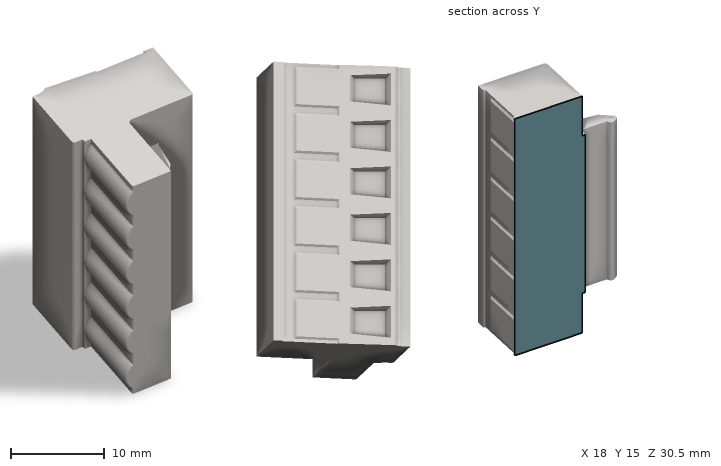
import cadquery as cq

POLE_COUNT = 6
PITCH = 5.08
HEIGHT = POLE_COUNT * PITCH
POLE_CENTRES = [(i + 0.5) * PITCH for i in range(POLE_COUNT)]

LENGTH = 18.0
WIDTH = 15.0
FACE_X = 0.43
BODY_BACK_X = 8.92
CORNER_RADIUS = 0.3

RECESS_X = 0.65
RECESS_TOP_Y = 13.85
RECESS_BOTTOM_Y = 7.97
SLOPE_TOP_X = 0.45
SLOPE_TOP_Y = 7.76
SLOPE_BOTTOM_Y = 1.78

STEP_X = 0.33
STEP_TOP_Y = 1.36
STEP_BOTTOM_Y = 1.15
STEP_END_Y = 0.95

PLUG_TOP_Y = 6.8
PLUG_BOTTOM_Y = 2.0
PLUG_ROOT_X = 9.33
ROOT_STEP_Y = 1.2
ROOT_RADIUS = 0.5

RIB_CREST_Y = 1.2
RIB_WIDTH = 3.66
PLUG_END_RADIUS = 0.2

PAD_TOP_Y = 12.7
PAD_BASE_WIDTH = 4.4
PAD_TAPER = 0.22

MOUTH_NARROW = (6.6, 1.42)
MOUTH_WIDE = (2.2, 1.75)
FLOOR_NARROW = (5.97, 1.235)
FLOOR_WIDE = (2.65, 1.375)
POCKET_FLOOR_X = 1.05

LATCH_BOTTOM_Y = 8.45
LATCH_FOOT_Y = 10.73
ARM_ROOT = (9.2, 10.48)
ARM_END = (12.41, 10.07)
TIP_X = 13.88
TIP_TOP_Y = 8.92
TIP_BOTTOM_Y = 8.5
HOOK_OUTER = (13.1, 8.0)
HOOK_INNER = (12.8, 8.08)
HOOK_START_X = 12.55
LATCH_INSET = PITCH


def sloped_face_x(y):
    """X of the sloped entry face at a given Y."""
    return SLOPE_TOP_X * (y - SLOPE_BOTTOM_Y) / (SLOPE_TOP_Y - SLOPE_BOTTOM_Y)


def make_housing():
    """Body and plug as one outline extruded over the full height."""
    outline = [
        (FACE_X, 0),
        (BODY_BACK_X, 0),
        (BODY_BACK_X, ROOT_STEP_Y),
        (PLUG_ROOT_X, ROOT_STEP_Y),
        (PLUG_ROOT_X, PLUG_BOTTOM_Y),
        (LENGTH, PLUG_BOTTOM_Y),
        (LENGTH, PLUG_TOP_Y),
        (BODY_BACK_X, PLUG_TOP_Y),
        (BODY_BACK_X, WIDTH),
        (FACE_X, WIDTH),
        (FACE_X, RECESS_TOP_Y),
        (RECESS_X, RECESS_TOP_Y),
        (RECESS_X, RECESS_BOTTOM_Y),
        (SLOPE_TOP_X, SLOPE_TOP_Y),
        (0, SLOPE_BOTTOM_Y),
        (STEP_X, STEP_TOP_Y),
        (STEP_X, STEP_BOTTOM_Y),
        (FACE_X, STEP_END_Y),
    ]
    housing = cq.Workplane("XY").polyline(outline).close().extrude(HEIGHT)
    for y in (0, WIDTH):
        corner = cq.selectors.NearestToPointSelector((BODY_BACK_X, y, HEIGHT / 2))
        housing = housing.edges(corner).fillet(CORNER_RADIUS)
    root = cq.selectors.NearestToPointSelector((BODY_BACK_X, PLUG_TOP_Y, HEIGHT / 2))
    return housing.edges(root).fillet(ROOT_RADIUS)


def make_rib(z):
    """Arc-section rib under the plug."""
    half = RIB_WIDTH / 2
    return (
        cq.Workplane("YZ", origin=(PLUG_ROOT_X, 0, z))
        .moveTo(PLUG_BOTTOM_Y, -half)
        .threePointArc((RIB_CREST_Y, 0), (PLUG_BOTTOM_Y, half))
        .close()
        .extrude(LENGTH - PLUG_ROOT_X)
    )


def round_plug_end(part):
    """Round the scalloped lower edge of the plug's end face."""
    lower_half = cq.selectors.BoxSelector(
        (PLUG_ROOT_X, 0, 0),
        (LENGTH + PLUG_END_RADIUS, (PLUG_BOTTOM_Y + PLUG_TOP_Y) / 2 - PLUG_END_RADIUS, HEIGHT),
    )
    return part.faces(">X").edges(lower_half).fillet(PLUG_END_RADIUS)


def make_pad(z):
    """Raised label pad with sloping top and side walls."""
    half = PAD_BASE_WIDTH / 2
    top_half = half - PAD_TAPER

    def section(x, top_y, half_width):
        return cq.Wire.makePolygon(
            [
                cq.Vector(x, SLOPE_TOP_Y, z - half_width),
                cq.Vector(x, top_y, z - half_width),
                cq.Vector(x, top_y, z + half_width),
                cq.Vector(x, SLOPE_TOP_Y, z + half_width),
            ],
            close=True,
        )

    base = section(RECESS_X, PAD_TOP_Y, half)
    top = section(SLOPE_TOP_X, PAD_TOP_Y - PAD_TAPER, top_half)
    return cq.Solid.makeLoft([base, top], True)


def make_pocket(z):
    """Tapered wire entry pocket, opening on the sloped face."""

    def section(narrow, wide, x_at):
        corners = [
            cq.Vector(x_at(y), y, z + side * half)
            for (y, half), side in ((narrow, -1), (wide, -1), (wide, 1), (narrow, 1))
        ]
        return cq.Wire.makePolygon(corners, close=True)

    mouth = section(MOUTH_NARROW, MOUTH_WIDE, sloped_face_x)
    floor = section(FLOOR_NARROW, FLOOR_WIDE, lambda y: POCKET_FLOOR_X)
    return cq.Solid.makeLoft([mouth, floor], True)


def make_latch():
    """Hooked latch arm on the back of the body."""
    outline = [
        (BODY_BACK_X, PLUG_TOP_Y),
        (PLUG_ROOT_X, PLUG_TOP_Y),
        (PLUG_ROOT_X, LATCH_BOTTOM_Y),
        (HOOK_START_X, LATCH_BOTTOM_Y),
        HOOK_INNER,
        HOOK_OUTER,
        (TIP_X, TIP_BOTTOM_Y),
        (TIP_X, TIP_TOP_Y),
        ARM_END,
        ARM_ROOT,
        (BODY_BACK_X, LATCH_FOOT_Y),
    ]
    return (
        cq.Workplane("XY", origin=(0, 0, LATCH_INSET))
        .polyline(outline)
        .close()
        .extrude(HEIGHT - 2 * LATCH_INSET)
    )


result = make_housing().union(make_latch())
for pole_z in POLE_CENTRES:
    result = result.union(make_rib(pole_z))
result = round_plug_end(result)
for pole_z in POLE_CENTRES:
    result = result.union(cq.Workplane(make_pad(pole_z)))
    result = result.cut(cq.Workplane(make_pocket(pole_z)))